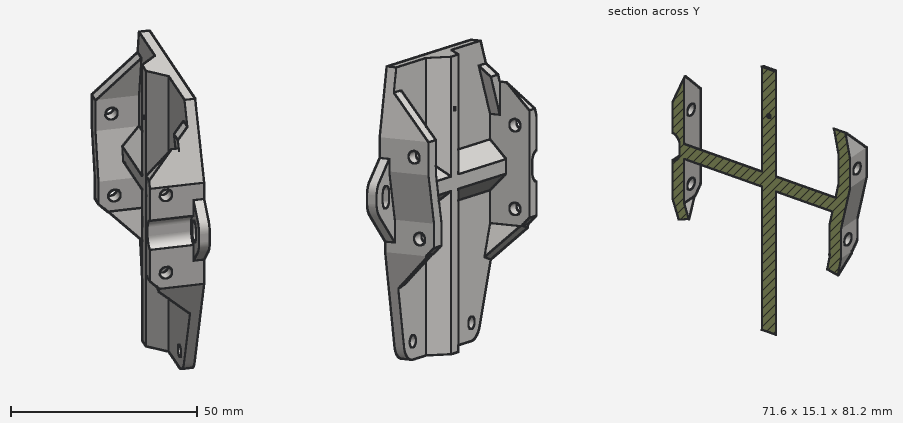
import cadquery as cq
import math


height = 81.25
plate_thickness = 3.0
top_left_x = -23.15
top_right_x = 22.9
bottom_left_x = -18.1
bottom_right_x = 21.2
corner_radius = 5.0
hole_diameter = 3.4
plate_hole_xs = (-14.1, 17.9)
plate_hole_z = 5.0

rib_depth = 8.0
rib_crest_width = 4.0
cross_rib_z = 46.55
cross_rib_left_x = -23.6
pin_hole_diameter = 1.0
pin_hole_depth = 4.1
pin_hole_z = 66.7

wall_depth = 15.1
wall_width = 4.0
left_upper_x = -27.0
left_lower_x = -24.0
left_jog_top_z = 53.4
left_jog_bottom_z = 39.7
right_wall_x = 32.0
right_corner_z = 60.45
wall_top_z = 62.5
wall_bottom_z = 30.6
wall_chamfer = 2.5
wall_hole_depth = 10.65
wall_hole_zs = (35.2, 58.0)
right_brace_depth = 6.0

gusset_width = 3.7
gusset_flat_left = 0.6
gusset_flat_right = 1.05

ear_left_x = -33.9
ear_right_x = 37.7
ear_z = 46.7
ear_corner_half_height = 3.25
ear_radius = 4.9
slot_width = 3.4
slot_height = 6.1
slot_inset = 5.0
slot_clearance = 1.3

top_left = (top_left_x, height)
top_right = (top_right_x, height)
left_bend = (left_upper_x, wall_top_z)
left_foot = (left_lower_x, wall_bottom_z)
right_bend = (right_wall_x, right_corner_z)
right_foot = (right_wall_x, wall_bottom_z)
bottom_left = (bottom_left_x, 0)
bottom_right = (bottom_right_x, 0)
left_side = [
    top_left,
    left_bend,
    (left_upper_x, left_jog_top_z),
    (left_lower_x, left_jog_bottom_z),
    left_foot,
]


def front_prism(points, depth):
    """Extrude an XZ outline from the back plane toward -Y."""
    return cq.Workplane("XZ").polyline(points).close().extrude(depth)


def shifted(points, dx):
    return [(x + dx, z) for x, z in points]


def plate():
    outline = left_side + [bottom_left, bottom_right, right_foot, right_bend, top_right]
    body = front_prism(outline, plate_thickness)
    return body.faces("<Z").edges("|Y").fillet(corner_radius)


def ear(root_x, tip_x):
    """Tapered ear with 45 degree flanks, rounded where they meet its end face."""
    root_half_height = ear_corner_half_height + abs(tip_x - root_x)
    outline = [
        (root_x, ear_z - root_half_height),
        (tip_x, ear_z - ear_corner_half_height),
        (tip_x, ear_z + ear_corner_half_height),
        (root_x, ear_z + root_half_height),
    ]
    tip_edges = "<X" if tip_x < root_x else ">X"
    return front_prism(outline, plate_thickness).edges("|Y").edges(tip_edges).fillet(ear_radius)


def rib_section(plane):
    crest = rib_crest_width / 2
    base = crest + rib_depth - plate_thickness
    return plane.polyline(
        [(-base, 0), (-base, -plate_thickness), (-crest, -rib_depth),
         (crest, -rib_depth), (base, -plate_thickness), (base, 0)]
    ).close()


def upright_rib():
    return rib_section(cq.Workplane("XY")).extrude(height)


def cross_rib():
    """Rib whose two ends lie inside the side walls."""
    end_x = right_wall_x - wall_width / 2
    plane = cq.Plane(origin=(cross_rib_left_x, 0, cross_rib_z), xDir=(0, 0, -1), normal=(1, 0, 0))
    return rib_section(cq.Workplane(plane)).extrude(end_x - cross_rib_left_x)


def wall_envelope():
    """Side profile of the walls: 45 degree top slope and chamfered lower end."""
    slope_top_z = wall_top_z + wall_depth
    profile = [
        (0, wall_bottom_z),
        (wall_chamfer - wall_depth, wall_bottom_z),
        (-wall_depth, wall_bottom_z + wall_chamfer),
        (-wall_depth, wall_top_z),
        (0, slope_top_z),
    ]
    length = ear_right_x - ear_left_x
    return cq.Workplane("YZ", origin=(ear_left_x, 0, 0)).polyline(profile).close().extrude(length)


def side_walls():
    left = front_prism(left_side + shifted(left_side, wall_width)[::-1], wall_depth)
    right_inner_x = right_wall_x - wall_width
    slope = (right_wall_x - top_right_x) / (height - right_corner_z)
    right_outline = [
        right_foot,
        right_bend,
        (right_inner_x, right_corner_z + wall_width / slope),
        (right_inner_x, wall_bottom_z),
    ]
    right = front_prism(right_outline, wall_depth)
    brace_side = [top_right, right_bend]
    brace = front_prism(brace_side + shifted(brace_side, -wall_width)[::-1], right_brace_depth)
    return left.union(right).union(brace).intersect(wall_envelope())


def gusset(foot, end, flat, inward):
    """Triangular web along the plate edge from foot to end; inward is +1 or -1 along X."""
    dx = end[0] - foot[0]
    dz = end[1] - foot[1]
    length = math.hypot(dx, dz)
    depth = wall_depth - wall_chamfer
    along = (dx / length, 0, dz / length)
    normal = (-inward * dz / length, 0, inward * dx / length)
    plane = cq.Plane(origin=(foot[0], 0, foot[1]), xDir=along, normal=normal)
    toward_front = -plane.yDir.y
    slope_end = flat + depth - plate_thickness
    profile = [
        (0, 0),
        (0, toward_front * depth),
        (flat, toward_front * depth),
        (slope_end, toward_front * plate_thickness),
        (slope_end, 0),
    ]
    return cq.Workplane(plane).polyline(profile).close().extrude(gusset_width)


def slot(x, offset=0):
    return (
        cq.Workplane("XZ").center(x, ear_z)
        .slot2D(slot_height + 2 * offset, slot_width + 2 * offset, 90)
        .extrude(wall_depth)
    )


left_slot_x = ear_left_x + slot_inset
right_slot_x = ear_right_x - slot_inset

result = (
    plate()
    .union(ear(left_lower_x, ear_left_x))
    .union(ear(right_wall_x, ear_right_x))
    .union(upright_rib())
    .union(cross_rib())
    .union(side_walls())
    .union(gusset(left_foot, bottom_left, gusset_flat_left, 1))
    .union(gusset(right_foot, bottom_right, gusset_flat_right, -1))
)

fastener_room = slot(right_slot_x, slot_clearance).translate((0, -plate_thickness, 0))
result = result.cut(slot(left_slot_x)).cut(slot(right_slot_x)).cut(fastener_room)

plate_holes = (
    cq.Workplane("XZ").pushPoints([(x, plate_hole_z) for x in plate_hole_xs])
    .circle(hole_diameter / 2).extrude(plate_thickness)
)
result = result.cut(plate_holes)

wall_holes = (
    cq.Workplane("YZ", origin=(ear_left_x, 0, 0))
    .pushPoints([(-wall_hole_depth, z) for z in wall_hole_zs])
    .circle(hole_diameter / 2).extrude(ear_right_x - ear_left_x)
)
result = result.cut(wall_holes)

pin_hole = (
    cq.Workplane("XZ", origin=(0, -rib_depth, 0)).center(0, pin_hole_z)
    .circle(pin_hole_diameter / 2).extrude(-pin_hole_depth)
)
result = result.cut(pin_hole)